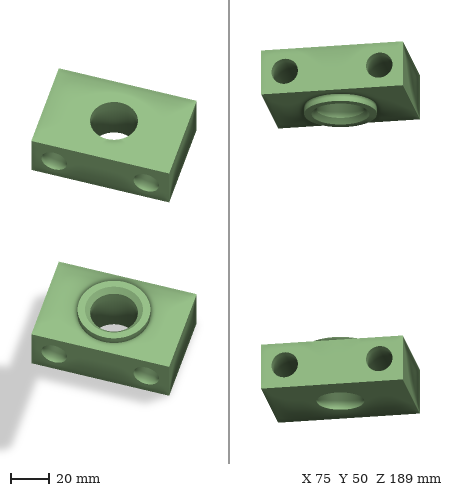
import cadquery as cq

total_height = 189.0

block_length = 75.0
block_width = 50.0
block_height = 24.5

boss_diameter = 38.0
boss_height = 4.0

bore_diameter = 25.0
countersink_size = 2.6

cross_hole_diameter = 14.0
cross_hole_spacing = 50.0
cross_hole_height = 12.5

body_height = block_height + boss_height


def make_block_with_boss():
    block = cq.Workplane("XY").box(block_length, block_width, block_height, centered=(True, True, False))
    boss = (
        cq.Workplane("XY")
        .workplane(offset=block_height)
        .circle(boss_diameter / 2)
        .extrude(boss_height)
    )
    return block.union(boss)


def make_bore():
    bore = cq.Workplane("XY").circle(bore_diameter / 2).extrude(body_height)
    countersink = (
        cq.Workplane("XY")
        .workplane(offset=body_height - countersink_size)
        .circle(bore_diameter / 2)
        .workplane(offset=countersink_size)
        .circle(bore_diameter / 2 + countersink_size)
        .loft()
    )
    return bore.union(countersink)


def make_cross_holes():
    return (
        cq.Workplane("XZ")
        .pushPoints([(side * cross_hole_spacing / 2, cross_hole_height) for side in (-1, 1)])
        .circle(cross_hole_diameter / 2)
        .extrude(block_width / 2, both=True)
    )


def make_bearing_block():
    """Bearing block standing on its outer face at Z = 0, with the ring facing up."""
    return make_block_with_boss().cut(make_bore()).cut(make_cross_holes())


bearing_blocks = []
for is_upper in (False, True):
    bearing_block = make_bearing_block()
    if is_upper:
        bearing_block = bearing_block.mirror("XY", (0, 0, total_height / 2))
    bearing_blocks.append(bearing_block.val())

result = cq.Compound.makeCompound(bearing_blocks)